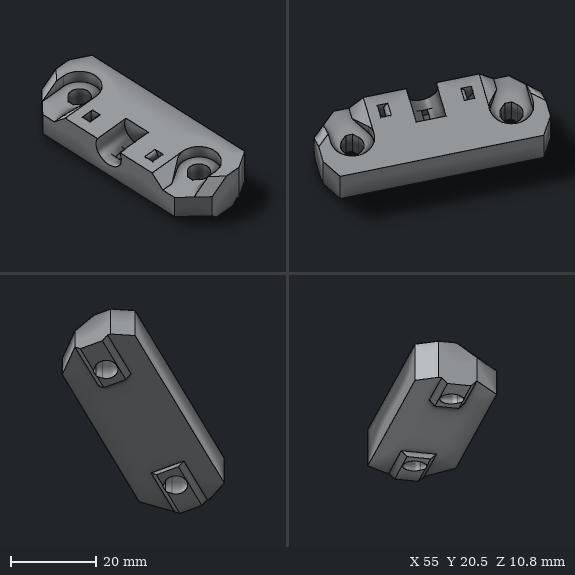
import cadquery as cq
import math

length = 55.0
depth = 20.5
height = 10.8
half_length = length / 2

front_corner = 6.25
back_corner_depth = 5.0
back_corner_angle = 60
back_corner_width = back_corner_depth / math.tan(math.radians(back_corner_angle))

foot_height = 1.4
foot_length = 13.0
foot_width = 8.45

screw_x = 19.25
screw_y = 10.5
hole_radius = 2.75
hole_tip_reach = 3.1
recess_radius = 5.2
recess_depth = 3.3
slope_width = 3.45
recess_taper_angle = 60

channel_radius = 4.05
channel_axis_depth = 1.9
channel_length = 9.8

tunnel_axis_depth = 1.8
tunnel_inner_half_width = 9.85
tunnel_inner_half_height = 4.1
tunnel_outer_half_width = 11.8
tunnel_outer_half_height = 6.4
tunnel_width = 3.45
tunnel_front = 3.0

recess_floor = height - recess_depth
channel_axis_z = height - channel_axis_depth
tunnel_axis_z = height - tunnel_axis_depth


def front_profile(y):
    """Sketch plane parallel to the front face at depth y, extruding towards the back."""
    return cq.Workplane("XZ", origin=(0, y, 0))


def mirror_pair(solid):
    """The right-hand solid together with its left-hand mirror image."""
    return solid.union(solid.mirror("YZ"))


def make_block():
    half_outline = [
        (0, 0),
        (half_length - front_corner, 0),
        (half_length, front_corner),
        (half_length, depth - back_corner_depth),
        (half_length - back_corner_width, depth),
        (0, depth),
    ]
    half = cq.Workplane("XY", origin=(0, 0, foot_height)).polyline(half_outline).close()
    half = half.extrude(height - foot_height)
    return mirror_pair(half)


def make_corner_bevels():
    """Wedges that slope from the top face down to the recess floor on the diagonal walls."""
    across_wall = cq.Plane(
        origin=(half_length - front_corner, 0, recess_floor),
        xDir=(-1, 1, 0),
        normal=(1, 1, 0),
    )
    wall_length = front_corner * math.sqrt(2)
    wedge = (
        cq.Workplane(across_wall)
        .workplane(offset=-slope_width)
        .polyline([(0, 0), (0, recess_depth), (slope_width, recess_depth)])
        .close()
        .extrude(wall_length + 2 * slope_width)
    )
    return mirror_pair(wedge)


def make_feet():
    foot_top_front = front_corner
    foot_top_back = foot_top_front + foot_width
    section = [
        (foot_top_front, foot_height),
        (foot_top_back, foot_height),
        (foot_top_back - foot_height, 0),
        (foot_top_front + foot_height, 0),
    ]
    foot = cq.Workplane("YZ", origin=(half_length - foot_length, 0, 0))
    return mirror_pair(foot.polyline(section).close().extrude(foot_length))


def make_screw_holes():
    """Teardrop through holes with a blunt 45 degree tip towards the front."""
    tangent = hole_radius * math.sqrt(0.5)
    tip_half_width = 2 * tangent - hole_tip_reach
    hole = (
        cq.Workplane("XY", origin=(screw_x, screw_y, 0))
        .moveTo(tangent, -tangent)
        .threePointArc((0, hole_radius), (-tangent, -tangent))
        .lineTo(-tip_half_width, -hole_tip_reach)
        .lineTo(tip_half_width, -hole_tip_reach)
        .close()
        .extrude(height)
    )
    return mirror_pair(hole)


def make_recesses():
    """Round-backed recesses, open to the front, sloping down from the inner side."""
    taper = math.radians(recess_taper_angle)
    tangent_x = -recess_radius * math.sin(taper)
    tangent_y = -recess_radius * math.cos(taper)
    floor_inner_x = slope_width - recess_radius
    taper_end_y = tangent_y - (floor_inner_x - tangent_x) * math.tan(taper)
    pocket = (
        cq.Workplane("XY", origin=(screw_x, screw_y, recess_floor))
        .moveTo(recess_radius, 0)
        .threePointArc((0, recess_radius), (tangent_x, tangent_y))
        .lineTo(floor_inner_x, taper_end_y)
        .lineTo(floor_inner_x, -screw_y)
        .lineTo(recess_radius, -screw_y)
        .close()
        .extrude(recess_depth)
    )
    slope_section = [
        (screw_x - recess_radius, height),
        (screw_x + recess_radius, height),
        (screw_x + recess_radius, recess_floor),
        (screw_x + floor_inner_x, recess_floor),
    ]
    sloped_entry = front_profile(0).polyline(slope_section).close().extrude(-screw_y)
    return mirror_pair(pocket.union(sloped_entry))


def make_channel():
    return front_profile(0).center(0, channel_axis_z).circle(channel_radius).extrude(-channel_length)


def make_tie_tunnel():
    plane = front_profile(tunnel_front).center(0, tunnel_axis_z)
    outer = plane.ellipse(tunnel_outer_half_width, tunnel_outer_half_height).extrude(-tunnel_width)
    inner = plane.ellipse(tunnel_inner_half_width, tunnel_inner_half_height).extrude(-tunnel_width)
    return outer.cut(inner)


result = (
    make_block()
    .union(make_feet())
    .cut(make_corner_bevels())
    .cut(make_screw_holes())
    .cut(make_recesses())
    .cut(make_channel())
    .cut(make_tie_tunnel())
)